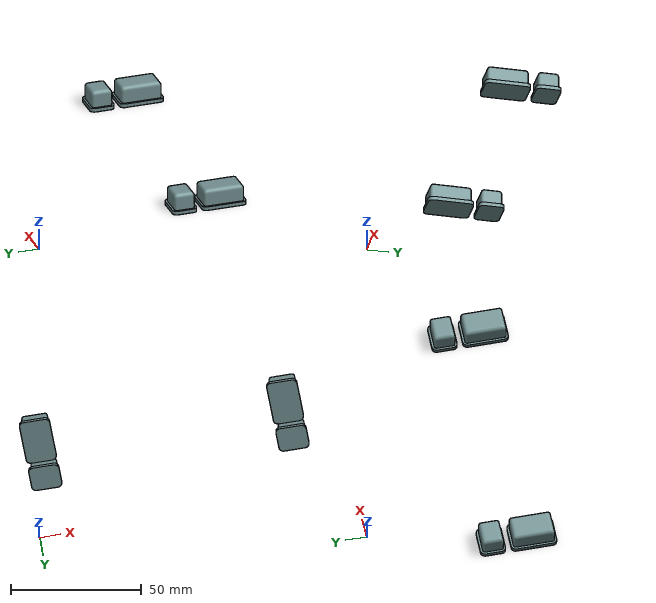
import cadquery as cq

total_length = 107.8
gap_between_keys = 2.2

flange_width = 11.8
short_flange_depth = 9.8
long_flange_depth = 17.8
flange_thickness = 1.5
flange_overhang = 0.88

key_height = 8.0
cap_corner_radius = 0.95
cap_top_radius = 1.5

flange_corner_radius = cap_corner_radius + flange_overhang

column_x = (total_length - flange_width) / 2
total_depth = short_flange_depth + gap_between_keys + long_flange_depth
short_key_y = (total_depth - short_flange_depth) / 2
long_key_y = (long_flange_depth - total_depth) / 2


def make_flange(depth):
    """Flat plate with rounded corners, resting on Z = 0."""
    plate = cq.Workplane("XY").box(flange_width, depth, flange_thickness, centered=(True, True, False))
    return plate.edges("|Z").fillet(flange_corner_radius)


def make_cap(flange_depth):
    """Block with rounded corners and a rounded top rim, set in from the flange edge."""
    cap_width = flange_width - 2 * flange_overhang
    cap_depth = flange_depth - 2 * flange_overhang
    block = cq.Workplane("XY").box(cap_width, cap_depth, key_height, centered=(True, True, False))
    rounded_top = block.faces(">Z").edges().fillet(cap_top_radius)
    return rounded_top.edges("|Z").fillet(cap_corner_radius)


def make_key(flange_depth, x, y):
    """One key: flange and cap in a single solid."""
    key = make_flange(flange_depth).union(make_cap(flange_depth))
    return key.translate((x, y, 0))


short_keys = []
long_keys = []
for x in (-column_x, column_x):
    short_keys.append(make_key(short_flange_depth, x, short_key_y).val())
    long_keys.append(make_key(long_flange_depth, x, long_key_y).val())

result = cq.Compound.makeCompound([*short_keys, *long_keys])